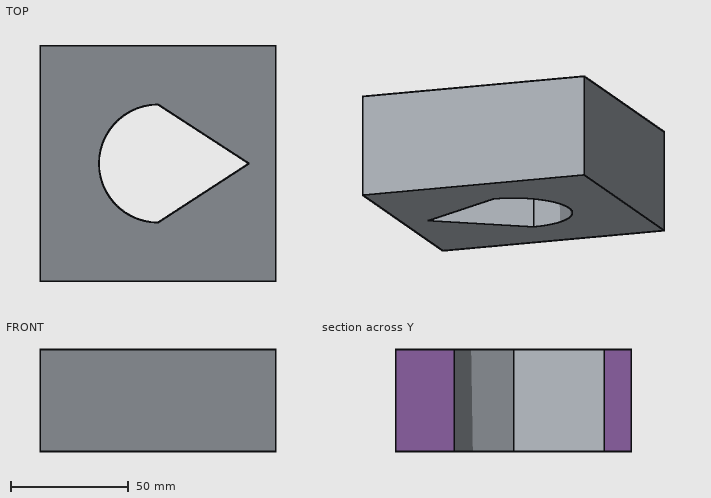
import cadquery as cq

side = 100.0
height = 43.3

hole_radius = side / 4
tip_distance = 38.5

block = cq.Workplane("XY").box(side, side, height)

teardrop = (
    cq.Workplane("XY")
    .moveTo(0, hole_radius)
    .threePointArc((-hole_radius, 0), (0, -hole_radius))
    .lineTo(tip_distance, 0)
    .close()
    .extrude(height, both=True)
)

result = block.cut(teardrop)